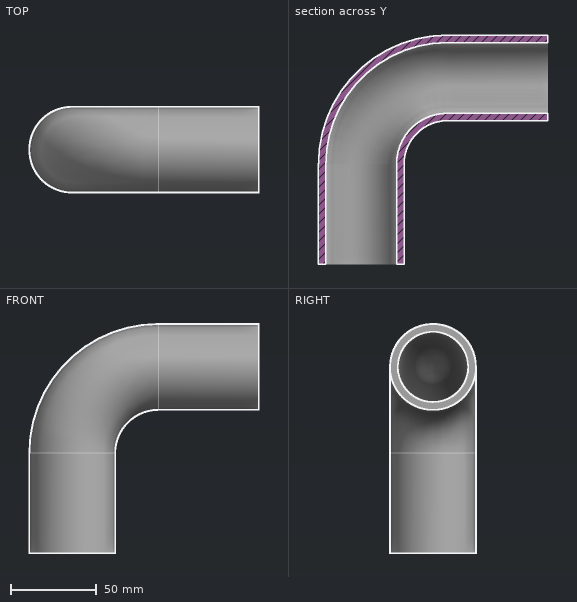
import cadquery as cq

overall_length = 133.5
outer_diameter = 50.0
bore_diameter = 40.9

bend_radius = outer_diameter
straight_length = overall_length - bend_radius - outer_diameter / 2
bend_angle = 90.0


def elbow(diameter):
    """Solid elbow: a leg up along Z, a quarter bend, then a leg along +X."""
    lower_leg = cq.Workplane("XY").circle(diameter / 2).extrude(straight_length)
    bend = (
        cq.Workplane("XY", origin=(0, 0, straight_length))
        .circle(diameter / 2)
        .revolve(bend_angle, (bend_radius, 0, 0), (bend_radius, 1, 0))
    )
    upper_leg = (
        cq.Workplane("YZ", origin=(bend_radius, 0, straight_length + bend_radius))
        .circle(diameter / 2)
        .extrude(straight_length)
    )
    return lower_leg.union(bend).union(upper_leg)


result = elbow(outer_diameter).cut(elbow(bore_diameter))